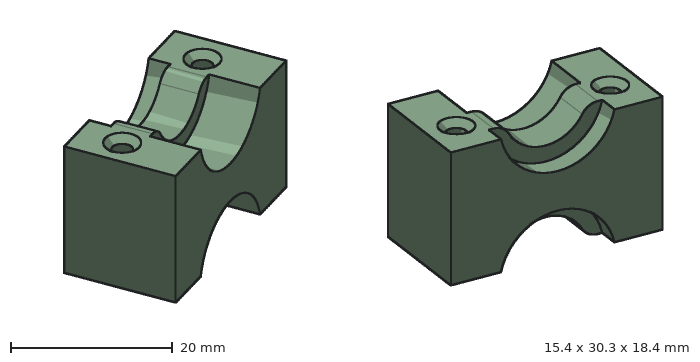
import cadquery as cq

length_x = 15.42
height = 18.4
front_y = -15.0
back_y = 15.3
half_height = height / 2

groove_axis_z = 11.05
groove_radius = 8.32

rib_start_x = 3.0
rib_width = 5.4
rib_radius = 6.1
rib_lip_radius = 2.55

hole_x = 6.0
hole_spacing = 22.0
hole_diameter = 2.7
countersink_diameter = 4.7
countersink_angle = 90


def cylinder_along_x(radius, start_x, length, axis_z):
    """Cylinder with its axis parallel to X in the plane Y = 0."""
    return (
        cq.Workplane("YZ", origin=(start_x, 0, axis_z))
        .circle(radius)
        .extrude(length)
    )


def block():
    """Plain block with one end face at X = 0, centred on Z = 0."""
    corner = (0, front_y, -half_height)
    return cq.Workplane("XY", origin=corner).box(length_x, back_y - front_y, height, centered=False)


def groove_cut(side):
    """Stepped groove cutter; side is +1 for the top face and -1 for the bottom face."""
    axis_z = side * groove_axis_z
    rib_end_x = rib_start_x + rib_width
    entry = cylinder_along_x(groove_radius, 0, rib_start_x, axis_z)
    throat = cylinder_along_x(rib_radius, rib_start_x, rib_width, axis_z)
    exit_side = cylinder_along_x(groove_radius, rib_end_x, length_x - rib_end_x, axis_z)
    return entry.union(throat).union(exit_side)


def round_rib_lips(body):
    """Round the edges where the rib saddles meet the top and bottom faces."""
    lip_y = (rib_radius**2 - (groove_axis_z - half_height) ** 2) ** 0.5
    rib_middle_x = rib_start_x + rib_width / 2
    for z in (half_height, -half_height):
        for y in (lip_y, -lip_y):
            lip = cq.selectors.NearestToPointSelector((rib_middle_x, y, z))
            body = body.edges("|X").edges(lip).fillet(rib_lip_radius)
    return body


def drill_holes(body):
    """Drill the screw holes through the block, countersunk from the top face."""
    end_points = [(hole_x, hole_spacing / 2), (hole_x, -hole_spacing / 2)]
    return (
        body.faces(">Z")
        .workplane(origin=(0, 0, half_height))
        .pushPoints(end_points)
        .cskHole(hole_diameter, countersink_diameter, countersink_angle)
    )


body = block()
for side in (1, -1):
    body = body.cut(groove_cut(side))
result = drill_holes(round_rib_lips(body))